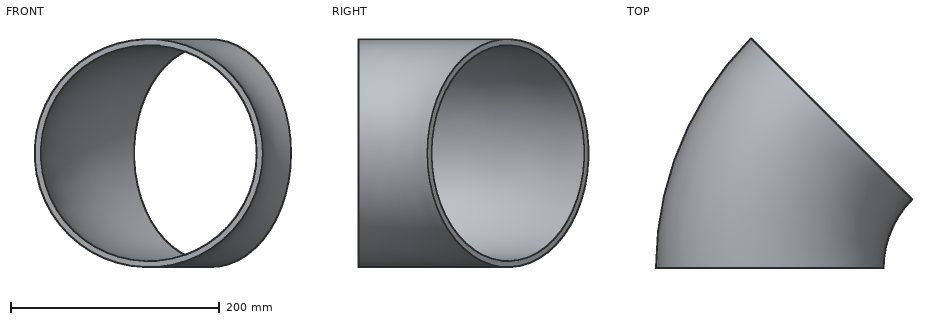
import cadquery as cq
import math

overall_length = 246.5
outer_diameter = 219.0
wall = 6.0
bend_angle = 45.0

outer_radius = outer_diameter / 2
inner_radius = outer_radius - wall

bend_cosine = math.cos(math.radians(bend_angle))
bend_radius = (overall_length - outer_radius * (1 + bend_cosine)) / (1 - bend_cosine)

axis_start = (bend_radius, 0)
axis_end = (bend_radius, -1)

result = (
    cq.Workplane("XZ")
    .circle(outer_radius)
    .circle(inner_radius)
    .revolve(bend_angle, axis_start, axis_end)
)